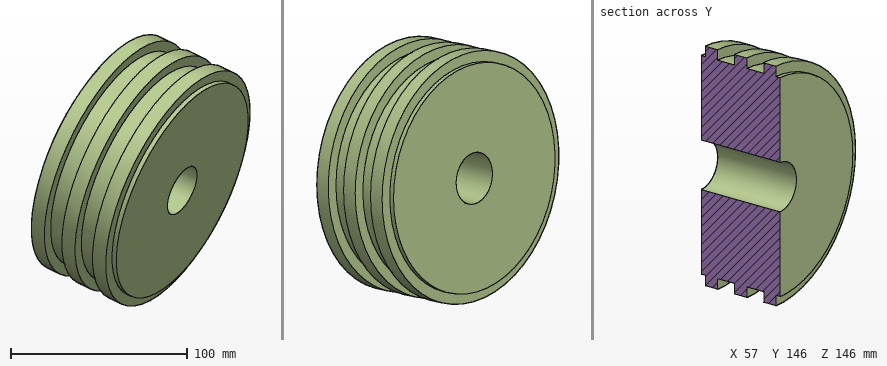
import cadquery as cq

width = 57.0
ring_diameter = 146.0
hub_diameter = 133.3
bore_diameter = 30.0
ring_width = 9.0
ring_pitch = 21.0
ring_count = 3


def disc(diameter, length, center_x):
    """Solid disc along X, centred at center_x."""
    return (
        cq.Workplane("YZ", origin=(center_x - length / 2, 0, 0))
        .circle(diameter / 2)
        .extrude(length)
    )


wheel = disc(hub_diameter, width, 0)
for index in range(ring_count):
    ring_x = (index - (ring_count - 1) / 2) * ring_pitch
    wheel = wheel.union(disc(ring_diameter, ring_width, ring_x))

result = wheel.cut(disc(bore_diameter, width, 0))